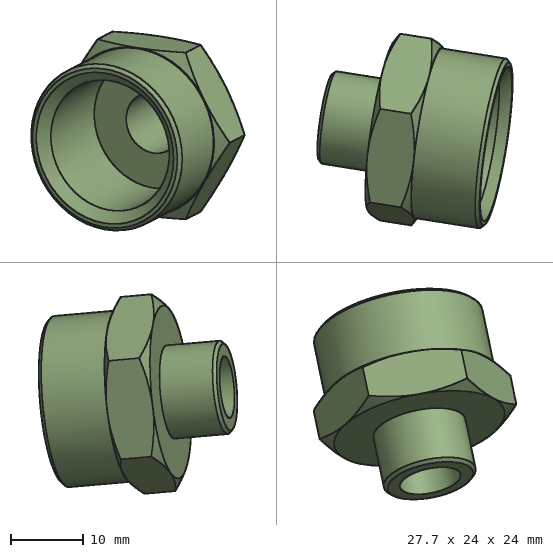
import cadquery as cq
import math

socket_length = 9.5
hex_length = 6.48
spigot_length = 8.0

corner_width = 27.7
flat_width = corner_width * math.cos(math.radians(30))
hex_chamfer_angle = 30.0

socket_diameter = 23.78
spigot_diameter = 12.97
socket_chamfer = 0.5
spigot_chamfer = 0.47

mouth_diameter = 21.6
socket_bore_diameter = 18.65
socket_bore_depth = 14.0
through_bore_diameter = 8.6

hex_end = socket_length + hex_length
total_length = hex_end + spigot_length


def revolve_profile(points):
    """Revolve a closed (radius, y) outline around the Y axis."""
    return cq.Workplane("XY").polyline(points).close().revolve(360, (0, 0, 0), (0, 1, 0))


def make_hexagon():
    """Hexagonal collar with turned chamfers on both faces."""
    prism = (
        cq.Workplane("XZ", origin=(0, hex_end, 0))
        .polygon(6, corner_width)
        .extrude(hex_length)
    )
    face_radius = flat_width / 2
    envelope_radius = corner_width / 2 + 0.28
    cone_height = (envelope_radius - face_radius) * math.tan(math.radians(hex_chamfer_angle))
    envelope = revolve_profile([
        (0, socket_length),
        (face_radius, socket_length),
        (envelope_radius, socket_length + cone_height),
        (envelope_radius, hex_end - cone_height),
        (face_radius, hex_end),
        (0, hex_end),
    ])
    return prism.intersect(envelope)


def make_turned_body():
    """Socket and spigot cylinders with chamfered ends."""
    socket_radius = socket_diameter / 2
    spigot_radius = spigot_diameter / 2
    return revolve_profile([
        (0, 0),
        (socket_radius - socket_chamfer, 0),
        (socket_radius, socket_chamfer),
        (socket_radius, socket_length),
        (spigot_radius, socket_length),
        (spigot_radius, total_length - spigot_chamfer),
        (spigot_radius - spigot_chamfer, total_length),
        (0, total_length),
    ])


def make_bore():
    """Flared socket bore followed by the narrower through bore."""
    mouth_radius = mouth_diameter / 2
    socket_bore_radius = socket_bore_diameter / 2
    through_radius = through_bore_diameter / 2
    flare_depth = mouth_radius - socket_bore_radius
    return revolve_profile([
        (0, 0),
        (mouth_radius, 0),
        (socket_bore_radius, flare_depth),
        (socket_bore_radius, socket_bore_depth),
        (through_radius, socket_bore_depth),
        (through_radius, total_length),
        (0, total_length),
    ])


result = make_turned_body().union(make_hexagon()).cut(make_bore())